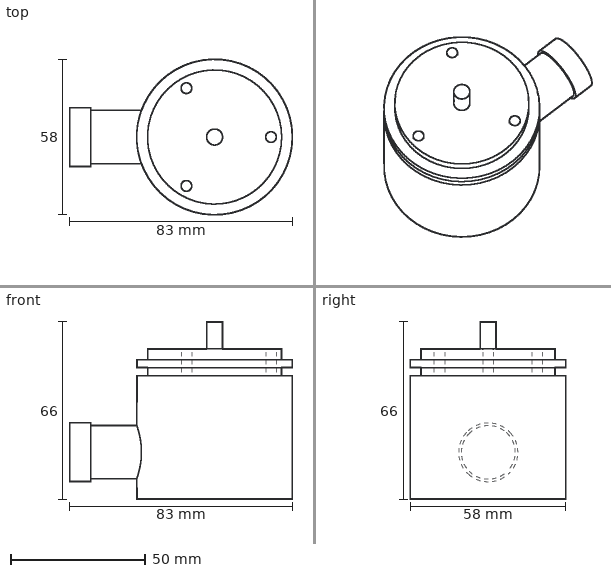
import cadquery as cq

overall_length = 83.0
overall_height = 66.0
body_diameter = 58.0
body_height = 46.0
pilot_diameter = 50.0
groove_height = 3.0
flange_height = 3.0
pilot_height = 4.0
shaft_diameter = 6.0

hole_count = 3
hole_diameter = 4.0
hole_circle_radius = 21.0
hole_depth = 10.0

connector_z = 17.5
neck_diameter = 20.0
cap_diameter = 22.0
cap_length = 8.0

flange_bottom = body_height + groove_height
pilot_bottom = flange_bottom + flange_height
pilot_top = pilot_bottom + pilot_height
connector_reach = overall_length - body_diameter / 2


def upright_cylinder(diameter, bottom, top):
    """Cylinder on the main Z axis between two heights."""
    return cq.Workplane("XY").workplane(offset=bottom).circle(diameter / 2).extrude(top - bottom)


def side_cylinder(diameter, length):
    """Cylinder running from the connector's outer end toward the main axis."""
    return (
        cq.Workplane("YZ", origin=(-connector_reach, 0, connector_z))
        .circle(diameter / 2)
        .extrude(length)
    )


housing = (
    upright_cylinder(body_diameter, 0, body_height)
    .union(upright_cylinder(pilot_diameter, body_height, pilot_top))
    .union(upright_cylinder(body_diameter, flange_bottom, pilot_bottom))
    .union(upright_cylinder(shaft_diameter, pilot_top, overall_height))
)

connector = side_cylinder(neck_diameter, connector_reach).union(side_cylinder(cap_diameter, cap_length))

mounting_holes = (
    cq.Workplane("XY")
    .workplane(offset=pilot_top)
    .polarArray(hole_circle_radius, 0, 360, hole_count)
    .circle(hole_diameter / 2)
    .extrude(-hole_depth)
)

result = housing.union(connector).cut(mounting_holes)